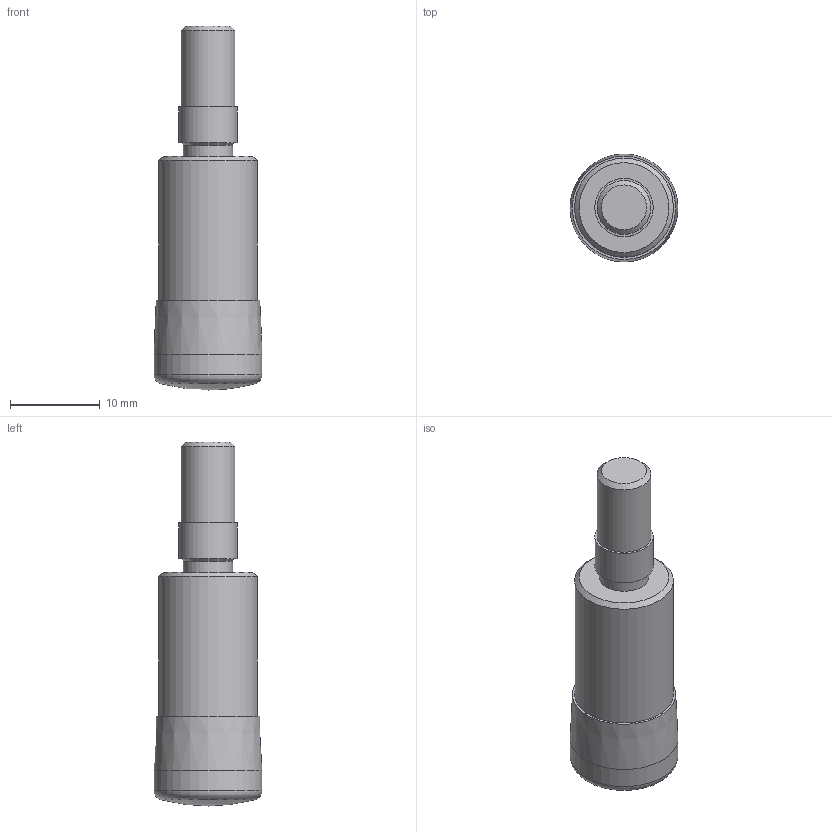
import cadquery as cq
import math

cap_height = 10.0
sleeve_end_height = 4.0
shank_length = 16.0
stud_length = 14.5
shoulder_height = cap_height + shank_length
tip_height = shoulder_height + stud_length

shank_radius = 11.0 / 2
neck_radius = 5.5 / 2
collar_radius = 6.5 / 2
tip_radius = 6.0 / 2
edge_chamfer = 0.5
tip_length = 9.0
collar_length = 4.0
collar_step = 0.25
collar_step_radius = neck_radius + collar_step
collar_top = tip_height - tip_length
collar_bottom = collar_top - collar_length

cap_radius = 12.0 / 2
cap_rim_radius = 11.5 / 2
cap_edge_radius = 1.0
dome_sphere_radius = 20.0
edge_center_radius = cap_radius - cap_edge_radius
edge_center_height = dome_sphere_radius - math.sqrt(
    (dome_sphere_radius - cap_edge_radius) ** 2 - edge_center_radius ** 2
)
dome_edge_angle = math.asin(edge_center_radius / (dome_sphere_radius - cap_edge_radius))
flare_middle_radius = 5.9
flare_middle_height = (cap_height + sleeve_end_height) / 2


def dome_point(angle):
    """Point on the dome at an angle from the downward axis."""
    return (dome_sphere_radius * math.sin(angle), dome_sphere_radius * (1 - math.cos(angle)))


def edge_point(angle):
    """Point on the rounding at an angle from straight down."""
    return (
        edge_center_radius + cap_edge_radius * math.sin(angle),
        edge_center_height - cap_edge_radius * math.cos(angle),
    )


def revolve_profile(profile):
    """Turn a closed half profile (X = radius, Y = height) about the Z axis."""
    return profile.close().revolve(360, (0, 0, 0), (0, 1, 0))


def make_stud():
    """Shank with shoulder, undercut neck, collar and tip, all in one piece."""
    profile = (
        cq.Workplane("XZ")
        .moveTo(0, cap_height)
        .lineTo(shank_radius, cap_height)
        .lineTo(shank_radius, shoulder_height - edge_chamfer)
        .lineTo(shank_radius - edge_chamfer, shoulder_height)
        .lineTo(neck_radius, shoulder_height)
        .lineTo(neck_radius, collar_bottom - collar_step)
        .lineTo(collar_step_radius, collar_bottom)
        .lineTo(collar_radius, collar_bottom)
        .lineTo(collar_radius, collar_top)
        .lineTo(tip_radius, collar_top)
        .lineTo(tip_radius, tip_height - edge_chamfer)
        .lineTo(tip_radius - edge_chamfer, tip_height)
        .lineTo(0, tip_height)
    )
    return revolve_profile(profile)


def make_cap():
    """Solid end cap with a flared side, a rounded edge and a domed face."""
    edge_middle_angle = (dome_edge_angle + math.pi / 2) / 2
    profile = (
        cq.Workplane("XZ")
        .moveTo(0, 0)
        .threePointArc(dome_point(dome_edge_angle / 2), dome_point(dome_edge_angle))
        .threePointArc(edge_point(edge_middle_angle), (cap_radius, edge_center_height))
        .lineTo(cap_radius, sleeve_end_height)
        .threePointArc((flare_middle_radius, flare_middle_height), (cap_rim_radius, cap_height))
        .lineTo(0, cap_height)
    )
    return revolve_profile(profile)


stud = make_stud()
cap = make_cap()

result = cq.Compound.makeCompound([stud.val(), cap.val()])